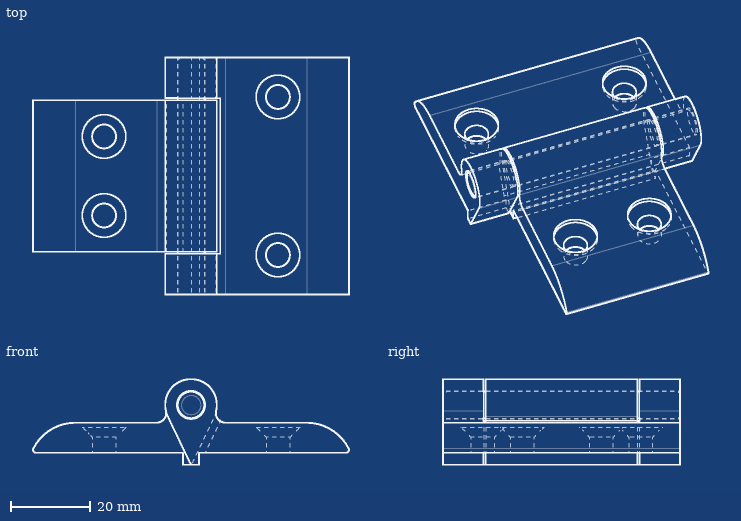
import cadquery as cq
import math


half_span = 40.0
plate_thickness = 7.7
lip_depth = 3.0
lip_width = 2.1
barrel_radius = 6.6
overall_height = 21.8
axis_z = overall_height - lip_depth - barrel_radius
barrel_fillet = 2.4
edge_radius = 12.0
nose_radius = 0.8

wide_length = 60.0
narrow_length = 38.4
side_gap = 0.5
slot_length = narrow_length + 2 * side_gap
slot_clearance = 1.8

pin_diameter = 6.8
pin_hole_diameter = 7.0
pin_end_round = 1.0

screw_x = 22.0
narrow_screw_spacing = 20.0
wide_screw_spacing = 40.0
screw_diameter = 6.0
sink_diameter = 11.0
sink_straight_depth = 1.1
sink_cone_depth = (sink_diameter - screw_diameter) / 2


def polar(center, radius, angle):
    """Point on a circle in the XZ plane; angle in radians from +X toward +Z."""
    return (center[0] + radius * math.cos(angle), center[1] + radius * math.sin(angle))


def extrude_centered(outline, length):
    """Extrude an XZ outline symmetrically about y = 0."""
    return outline.extrude(length / 2, both=True)


def axis_cylinder(diameter, length):
    return extrude_centered(cq.Workplane("XZ").center(0, axis_z).circle(diameter / 2), length)


def knuckle_slope_angle(radius):
    """Angle below horizontal of the tangent point from the lip tip to a circle at the axis."""
    return math.asin(radius / (axis_z + lip_depth))


def leaf_blank(length):
    """Leaf on the +X side: barrel, plate with rounded edge, and stop lip."""
    axis = (0, axis_z)

    blend_z = plate_thickness + barrel_fillet
    blend_x = math.sqrt((barrel_radius + barrel_fillet) ** 2 - (axis_z - blend_z) ** 2)
    blend_center = (blend_x, blend_z)
    blend_angle = math.atan2(blend_z - axis_z, blend_x)
    blend_start = polar(axis, barrel_radius, blend_angle)
    blend_middle_angle = (math.pi + blend_angle + 1.5 * math.pi) / 2
    blend_middle = polar(blend_center, barrel_fillet, blend_middle_angle)

    edge_z = plate_thickness - edge_radius
    nose_x = half_span - nose_radius
    edge_x = nose_x - math.sqrt((edge_radius - nose_radius) ** 2 - (nose_radius - edge_z) ** 2)
    edge_center = (edge_x, edge_z)
    nose_center = (nose_x, nose_radius)
    edge_angle = math.atan2(nose_radius - edge_z, nose_x - edge_x)
    edge_end = polar(edge_center, edge_radius, edge_angle)
    edge_middle = polar(edge_center, edge_radius, (edge_angle + math.pi / 2) / 2)

    slope_start = polar(axis, barrel_radius, math.pi + knuckle_slope_angle(barrel_radius))
    outline = (
        cq.Workplane("XZ")
        .moveTo(0, -lip_depth)
        .lineTo(*slope_start)
        .threePointArc((0, axis_z + barrel_radius), blend_start)
        .threePointArc(blend_middle, (blend_x, plate_thickness))
        .lineTo(edge_x, plate_thickness)
        .threePointArc(edge_middle, edge_end)
        .threePointArc(polar(nose_center, nose_radius, 0), (nose_x, 0))
        .lineTo(lip_width, 0)
        .lineTo(lip_width, -lip_depth)
        .close()
    )
    return extrude_centered(outline, length).cut(axis_cylinder(pin_hole_diameter, length))


def drill_screw_holes(leaf, spacing):
    """Cut a pair of countersunk holes through the plate."""
    cone_top = plate_thickness - sink_straight_depth
    cutter = (
        cq.Workplane("XZ")
        .lineTo(screw_diameter / 2, 0)
        .lineTo(screw_diameter / 2, cone_top - sink_cone_depth)
        .lineTo(sink_diameter / 2, cone_top)
        .lineTo(sink_diameter / 2, plate_thickness)
        .lineTo(0, plate_thickness)
        .close()
        .revolve(360, (0, 0), (0, 1))
    )
    for y in (-spacing / 2, spacing / 2):
        leaf = leaf.cut(cutter.translate((screw_x, y, 0)))
    return leaf


def knuckle_slot():
    """Clearance for the narrow knuckle, with a wall parallel to that knuckle's slope."""
    slope = knuckle_slope_angle(barrel_radius)
    wall_offset = barrel_radius + slot_clearance
    wall_top = polar((0, axis_z), wall_offset, -slope)
    wall_bottom_x = wall_top[0] - (wall_top[1] + lip_depth) * math.tan(slope)
    barrel_top = axis_z + barrel_radius
    outline = (
        cq.Workplane("XZ")
        .moveTo(-wall_offset, -lip_depth)
        .lineTo(wall_bottom_x, -lip_depth)
        .lineTo(*wall_top)
        .lineTo(wall_top[0], barrel_top)
        .lineTo(-wall_offset, barrel_top)
        .close()
    )
    return extrude_centered(outline, slot_length)


def make_wide_leaf():
    leaf = leaf_blank(wide_length).cut(knuckle_slot())
    return drill_screw_holes(leaf, wide_screw_spacing)


def make_narrow_leaf():
    leaf = drill_screw_holes(leaf_blank(narrow_length), narrow_screw_spacing)
    return leaf.mirror("YZ")


def make_pin():
    return axis_cylinder(pin_diameter, wide_length).edges("%CIRCLE").fillet(pin_end_round)


wide_leaf = make_wide_leaf()
narrow_leaf = make_narrow_leaf()
pin = make_pin()

result = cq.Compound.makeCompound([wide_leaf.val(), narrow_leaf.val(), pin.val()])